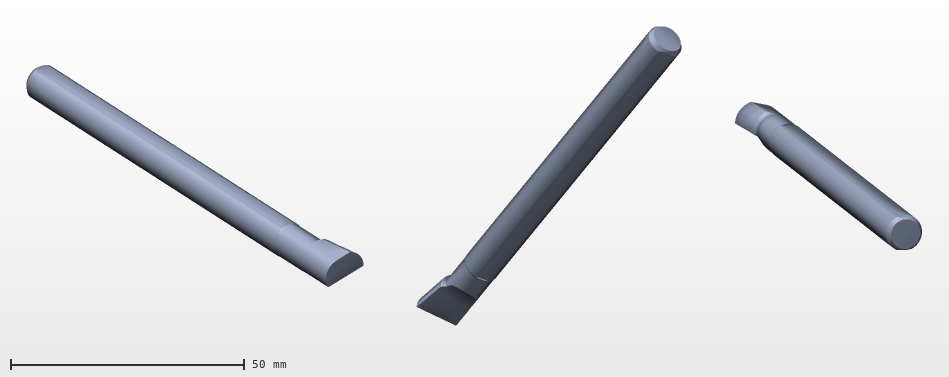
import cadquery as cq
import math


SHANK_DIAMETER = 8.0
SHANK_RADIUS = SHANK_DIAMETER / 2
SHANK_LENGTH = 83.3
LEAD_CHAMFER_LENGTH = 1.0
LEAD_CHAMFER_DEPTH = 0.7
FLAT_SPACING = 7.3
STEP_LENGTH = 0.4

NECK_DIAMETER = 7.8
NECK_RADIUS = NECK_DIAMETER / 2
OVERALL_LENGTH = 101.1
WIDTH = 9.9
TIP_Y = WIDTH - SHANK_RADIUS

LOBE_START = 91.6
FLARE_START = 92.6
FLARE_START_RADIUS = 4.7
FLARE_END_SHIFT = 1.0
FLARE_END_RADIUS = TIP_Y - FLARE_END_SHIFT
UPPER_TANGENT_ANGLE = 104.0
LOWER_TANGENT_ANGLE = -40.0

FLUTE_FLOOR_START = 93.5
FLUTE_RUNOUT_RADIUS = 6.6
FLUTE_TILT = 13.0

END_SLOPE_Y = 0.1
END_SLOPE_Z = 0.03

INSERT_START = 95.2
INSERT_INNER_Y = 2.8
INSERT_TOP_Z = 2.8

CLEARANCE = 10.1


def circle_wire(x, center_y, radius):
    """Circle facing along X."""
    return cq.Wire.makeCircle(radius, cq.Vector(x, center_y, 0), cq.Vector(1, 0, 0))


def make_bar_blank():
    """Shank with lead chamfer and step, and plain neck, as one turned shape."""
    profile = [
        (0, 0),
        (0, SHANK_RADIUS - LEAD_CHAMFER_DEPTH),
        (LEAD_CHAMFER_LENGTH, SHANK_RADIUS),
        (SHANK_LENGTH - STEP_LENGTH, SHANK_RADIUS),
        (SHANK_LENGTH, NECK_RADIUS),
        (OVERALL_LENGTH, NECK_RADIUS),
        (OVERALL_LENGTH, 0),
    ]
    return cq.Workplane("XY").polyline(profile).close().revolve(360, (0, 0, 0), (1, 0, 0))


def cut_shank_flats(bar):
    """Flatten the top and bottom of the shank up to the step."""
    flat_length = SHANK_LENGTH - STEP_LENGTH
    for side in (1, -1):
        cutter = cq.Workplane("XY").box(flat_length, 2 * CLEARANCE, CLEARANCE, centered=(False, True, True))
        bar = bar.cut(cutter.translate((0, 0, side * (FLAT_SPACING + CLEARANCE) / 2)))
    return bar


def tangent_point(angle):
    """Point of the neck circle, as (Y, Z), at an angle in degrees from +Y."""
    return (NECK_RADIUS * math.cos(math.radians(angle)), NECK_RADIUS * math.sin(math.radians(angle)))


def make_flare():
    """Full round flare: a short lead-in cone, then a slender cone drifting toward +Y."""
    lead_in = cq.Solid.makeLoft(
        [circle_wire(LOBE_START, 0, NECK_RADIUS), circle_wire(FLARE_START, 0, FLARE_START_RADIUS)], True
    )
    flare = cq.Solid.makeLoft(
        [
            circle_wire(FLARE_START, 0, FLARE_START_RADIUS),
            circle_wire(OVERALL_LENGTH, FLARE_END_SHIFT, FLARE_END_RADIUS),
        ],
        True,
    )
    return cq.Workplane(lead_in).union(cq.Workplane(flare))


def make_lobe_sector():
    """Kite between two planes tangent to the neck, open toward +Y, along the whole bar."""
    half_spread = math.radians(UPPER_TANGENT_ANGLE - LOWER_TANGENT_ANGLE) / 2
    middle_angle = math.radians(UPPER_TANGENT_ANGLE + LOWER_TANGENT_ANGLE) / 2
    apex_reach = NECK_RADIUS / math.cos(half_spread)
    apex = (apex_reach * math.cos(middle_angle), apex_reach * math.sin(middle_angle))
    return (
        cq.Workplane("YZ")
        .polyline([(0, 0), tangent_point(LOWER_TANGENT_ANGLE), apex, tangent_point(UPPER_TANGENT_ANGLE)])
        .close()
        .extrude(OVERALL_LENGTH)
    )


def make_flute_cutter():
    """Tilted chip flute below the tip, with a round run-out toward the shank."""
    runout_end = FLUTE_FLOOR_START - FLUTE_RUNOUT_RADIUS
    arc_offset = FLUTE_RUNOUT_RADIUS * math.sqrt(0.5)
    arc_middle = (FLUTE_FLOOR_START - arc_offset, arc_offset - FLUTE_RUNOUT_RADIUS)
    return (
        cq.Workplane("XZ")
        .moveTo(OVERALL_LENGTH + CLEARANCE, 0)
        .lineTo(FLUTE_FLOOR_START, 0)
        .threePointArc(arc_middle, (runout_end, -FLUTE_RUNOUT_RADIUS))
        .lineTo(runout_end, -CLEARANCE)
        .lineTo(OVERALL_LENGTH + CLEARANCE, -CLEARANCE)
        .close()
        .extrude(2 * CLEARANCE, both=True)
        .translate((0, TIP_Y, 0))
        .rotate((0, TIP_Y, 0), (1, TIP_Y, 0), FLUTE_TILT)
    )


def make_end_cutter():
    """Block whose near face passes through the tip and slopes back along -Y and +Z."""
    end_plane = cq.Plane(
        origin=(OVERALL_LENGTH, TIP_Y, 0), xDir=(END_SLOPE_Y, 1, 0), normal=(1, -END_SLOPE_Y, END_SLOPE_Z)
    )
    return cq.Workplane(end_plane).rect(4 * CLEARANCE, 4 * CLEARANCE).extrude(CLEARANCE)


def make_insert_region():
    """Block at the +Y side of the head from which the insert is shaped."""
    return cq.Workplane("XY").box(
        OVERALL_LENGTH - INSERT_START, CLEARANCE, INSERT_TOP_Z + CLEARANCE, centered=False
    ).translate((INSERT_START, INSERT_INNER_Y, -CLEARANCE))


def make_holder():
    """Shank, neck and lobed head, with an open seat for the insert."""
    lobe = make_flare().intersect(make_lobe_sector())
    body = cut_shank_flats(make_bar_blank()).union(lobe)
    return body.cut(make_flute_cutter()).cut(make_end_cutter()).cut(make_insert_region())


def make_insert():
    """Insert filling the seat; its cutting edge overhangs the lobe's flat underside."""
    return make_insert_region().intersect(make_flare()).cut(make_flute_cutter()).cut(make_end_cutter())


holder = make_holder()
insert = make_insert()

result = cq.Compound.makeCompound([*holder.solids().vals(), *insert.solids().vals()])